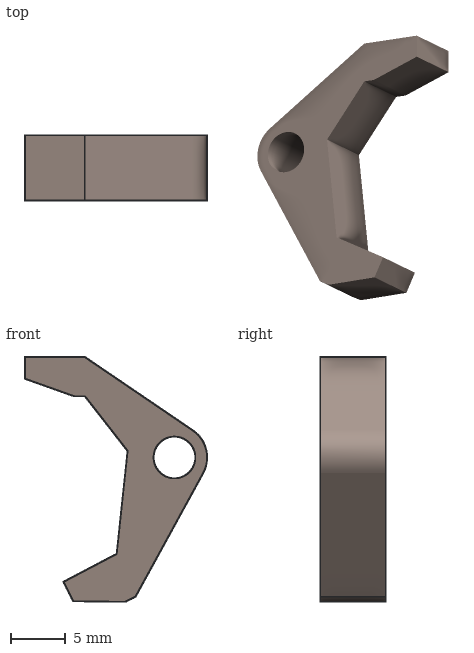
import cadquery as cq
import math

THICKNESS = 6.0
HOLE_DIAMETER = 3.8
PIVOT_RADIUS = 3.0

OVERALL_LENGTH = 16.7
OVERALL_HEIGHT = 22.42

TOP_Z = 9.2
TIP_X = PIVOT_RADIUS - OVERALL_LENGTH
JAW_LENGTH = 5.5
TIP_HEIGHT = 2.0
JAW_HEIGHT = 3.6
JAW_FLAT_LENGTH = 1.0
SHOULDER_X = TIP_X + JAW_LENGTH
JAW_UNDERSIDE_Z = TOP_Z - JAW_HEIGHT

ELBOW = (-4.3, 0.6)
LOWER_CORNER = (-5.3, -8.82)

BOTTOM_Z = TOP_Z - OVERALL_HEIGHT
SOLE_RISE = 0.05
FOOT_TIP = (-10.17, -11.38)
SOLE_FRONT = (-9.27, BOTTOM_Z + SOLE_RISE)
SOLE_BACK = (-4.5, BOTTOM_Z)
HEEL = (-3.56, -12.75)


def pivot_point(angle):
    """Point on the rounded pivot end at an angle measured from +X."""
    return PIVOT_RADIUS * math.cos(angle), PIVOT_RADIUS * math.sin(angle)


def tangent_angle(point, side):
    """Angle of the pivot-circle tangent point seen from an outside point.

    side is +1 or -1 and picks one of the two tangents.
    """
    x, z = point
    return math.atan2(z, x) + side * math.acos(PIVOT_RADIUS / math.hypot(x, z))


def make_profile():
    shoulder = (SHOULDER_X, TOP_Z)
    upper_tangent = pivot_point(tangent_angle(shoulder, -1))
    lower_tangent = pivot_point(tangent_angle(HEEL, 1))
    return (
        cq.Workplane("XZ")
        .moveTo(TIP_X, TOP_Z)
        .lineTo(*shoulder)
        .lineTo(*upper_tangent)
        .threePointArc((PIVOT_RADIUS, 0), lower_tangent)
        .lineTo(*HEEL)
        .lineTo(*SOLE_BACK)
        .lineTo(*SOLE_FRONT)
        .lineTo(*FOOT_TIP)
        .lineTo(*LOWER_CORNER)
        .lineTo(*ELBOW)
        .lineTo(SHOULDER_X, JAW_UNDERSIDE_Z)
        .lineTo(SHOULDER_X - JAW_FLAT_LENGTH, JAW_UNDERSIDE_Z)
        .lineTo(TIP_X, TOP_Z - TIP_HEIGHT)
        .close()
    )


def make_pivot_hole():
    return cq.Workplane("XZ").circle(HOLE_DIAMETER / 2).extrude(THICKNESS / 2, both=True)


body = make_profile().extrude(THICKNESS / 2, both=True)
result = body.cut(make_pivot_hole())